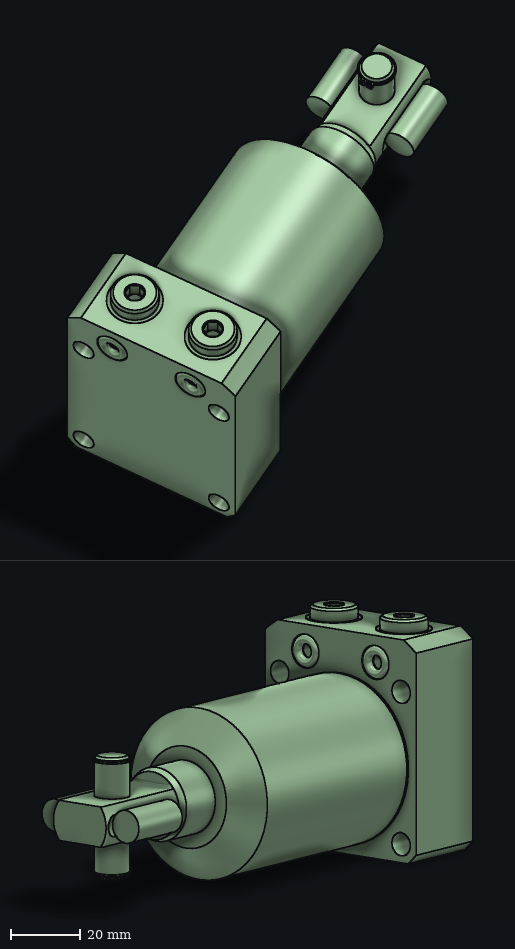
import cadquery as cq
import math


block_width = 56.0
block_length = 26.4
block_bottom = -block_width / 2
block_top = 37.9
top_corner_radius = 44.5
bottom_corner_radius = 37.6
bolt_spacing = 45.0
bolt_hole_diameter = 6.8

port_offset = 13.0
channel_height = 30.0
channel_diameter = 5.0
plug_diameter = 14.0
plug_bottom = 29.2
plug_top = 41.7
plug_chamfer = 0.7
plug_y = block_length / 2
socket_flats = 5.0
socket_rim_diameter = 6.0
socket_rim_depth = 0.3
socket_depth = 4.4
socket_cone_depth = 1.5
spotface_diameter = 16.4
spotface_depth = 0.1
ring_major_radius = 7.0 / 2
ring_cord_radius = 1.5
ring_protrusion = 0.7
ring_recess_diameter = 10.0
ring_recess_depth = 2 * ring_cord_radius - ring_protrusion

barrel_radius = 25.4
neck_radius = 25.2
neck_length = 0.7
shoulder_y = 91.7
nose_y = 97.8
nose_radius = 15.0

total_length = 147.5
tip_y = total_length - ring_protrusion
rod_radius = 10.9
rod_bevel_y = 111.0
tongue_start_y = 113.5
tongue_radius = 10.0
tongue_thickness = 12.0
tongue_root_fillet = 0.9
tip_bevel_length = 1.0
tip_bevel_depth = 0.3

pin_y = 131.9
pin_diameter = 10.3
pin_length = 36.0
pin_chamfer = 0.7
clip_radius = 5.6
clip_thickness = 0.6
clip_height = 16.4
clip_tab_width = 4.1
clip_tab_reach = 6.8
clip_slit_width = 0.7
clip_eye_diameter = 0.7
roller_radius = 4.9
roller_length = 20.0
groove_length = 20.6
roller_offset = pin_length / 2 - roller_radius

SIDES = (-1, 1)


def cylinder_along_y(radius, length, x, y_start, z):
    return cq.Workplane(cq.Solid.makeCylinder(radius, length, cq.Vector(x, y_start, z), cq.Vector(0, 1, 0)))


def cylinder_along_z(radius, length, x, y, z_start):
    return cq.Workplane(cq.Solid.makeCylinder(radius, length, cq.Vector(x, y, z_start)))


def make_block():
    """Block whose four long edges are turned about the cylinder axis."""
    upper = cq.Workplane("XY").box(block_width, block_length, block_top, centered=(True, False, False))
    upper = upper.intersect(cylinder_along_y(top_corner_radius, block_length, 0, 0, 0))
    lower = (
        cq.Workplane("XY", origin=(0, 0, block_bottom))
        .box(block_width, block_length, -block_bottom, centered=(True, False, False))
        .intersect(cylinder_along_y(bottom_corner_radius, block_length, 0, 0, 0))
    )
    block = upper.union(lower)
    for x_side in SIDES:
        for z_side in SIDES:
            x = x_side * bolt_spacing / 2
            z = z_side * bolt_spacing / 2
            block = block.cut(cylinder_along_y(bolt_hole_diameter / 2, block_length, x, 0, z))
    return block


def make_port_cut(x):
    """Through channel with an O-ring recess at both ends, and the plug bore that meets it."""
    recess_radius = ring_recess_diameter / 2
    cut = cylinder_along_y(channel_diameter / 2, block_length, x, 0, channel_height)
    for recess_y in (0, block_length - ring_recess_depth):
        cut = cut.union(cylinder_along_y(recess_radius, ring_recess_depth, x, recess_y, channel_height))
    bore = cylinder_along_z(plug_diameter / 2, block_top - plug_bottom, x, plug_y, plug_bottom)
    spotface = cylinder_along_z(spotface_diameter / 2, spotface_depth, x, plug_y, block_top - spotface_depth)
    return cut.union(bore).union(spotface)


def make_barrel_and_rod():
    """Turned profile of the barrel, its conical nose and the rod, up to the tongue."""
    profile = [
        (0, block_length),
        (neck_radius, block_length),
        (neck_radius, block_length + neck_length),
        (barrel_radius, block_length + neck_length),
        (barrel_radius, shoulder_y),
        (nose_radius, nose_y),
        (rod_radius, nose_y),
        (rod_radius, rod_bevel_y),
        (tongue_radius, tongue_start_y),
        (0, tongue_start_y),
    ]
    return cq.Workplane("XY").polyline(profile).close().revolve(360, (0, 0, 0), (0, 1, 0))


def make_tongue():
    """Round bar with two flats, which flare into the rod, and a roller groove on each side."""
    length = tip_y - tongue_start_y
    half_thickness = tongue_thickness / 2
    bar = (
        cylinder_along_y(tongue_radius, length, 0, tongue_start_y, 0)
        .faces(">Y").edges()
        .chamfer(tip_bevel_length, tip_bevel_depth)
    )
    fillet_offset = tongue_root_fillet * (1 - math.sqrt(0.5))
    fillet_mid_y = tongue_start_y + fillet_offset
    fillet_mid_z = half_thickness + fillet_offset
    root_z = half_thickness + tongue_root_fillet
    flat_y = tongue_start_y + tongue_root_fillet
    outline = (
        cq.Workplane("YZ")
        .moveTo(tongue_start_y, -root_z)
        .threePointArc((fillet_mid_y, -fillet_mid_z), (flat_y, -half_thickness))
        .lineTo(tip_y, -half_thickness)
        .lineTo(tip_y, half_thickness)
        .lineTo(flat_y, half_thickness)
        .threePointArc((fillet_mid_y, fillet_mid_z), (tongue_start_y, root_z))
        .close()
        .extrude(tongue_radius, both=True)
    )
    tongue = bar.intersect(outline)
    for side in SIDES:
        x = side * roller_offset
        groove = cylinder_along_y(roller_radius, groove_length, x, pin_y - groove_length / 2, 0)
        tongue = tongue.cut(groove)
        for end in SIDES:
            ball_y = pin_y + end * groove_length / 2
            ball_end = cq.Workplane("XY", origin=(x, ball_y, 0)).sphere(roller_radius)
            tongue = tongue.cut(ball_end)
    return tongue


def make_roller(x):
    return cylinder_along_y(roller_radius, roller_length, x, pin_y - roller_length / 2, 0)


def make_clip(z_start):
    """Split retaining ring with two eyed lugs that point towards the barrel."""
    ring = cylinder_along_z(clip_radius, clip_thickness, 0, pin_y, z_start)
    tab = (
        cq.Workplane("XY", origin=(0, pin_y - clip_tab_reach, z_start))
        .box(clip_tab_width, clip_tab_reach, clip_thickness, centered=(True, False, False))
    )
    slit = (
        cq.Workplane("XY", origin=(0, pin_y - clip_tab_reach, z_start))
        .box(clip_slit_width, clip_tab_reach, clip_thickness, centered=(True, False, False))
    )
    clip = ring.union(tab).cut(slit)
    eye_x = (clip_tab_width + clip_slit_width) / 4
    eye_y = pin_y - (clip_tab_reach + pin_diameter / 2) / 2
    for side in SIDES:
        clip = clip.cut(cylinder_along_z(clip_eye_diameter / 2, clip_thickness, side * eye_x, eye_y, z_start))
    return clip


def make_cross_pin():
    pin = (
        cylinder_along_z(pin_diameter / 2, pin_length, 0, pin_y, -pin_length / 2)
        .faces("<Z or >Z").edges()
        .chamfer(pin_chamfer)
    )
    for z_start in (clip_height, -clip_height - clip_thickness):
        pin = pin.union(make_clip(z_start))
    return pin


def make_clamp_cylinder():
    """Block, barrel, rod, tongue, rollers and cross pin in one solid."""
    body = make_block()
    for side in SIDES:
        body = body.cut(make_port_cut(side * port_offset))
    body = body.union(make_barrel_and_rod()).union(make_tongue()).union(make_cross_pin())
    for side in SIDES:
        body = body.union(make_roller(side * roller_offset))
    return body


def make_plug(x):
    """Round port plug with a bevelled hexagon socket that ends in a drill cone."""
    plug = (
        cylinder_along_z(plug_diameter / 2, plug_top - plug_bottom, x, plug_y, plug_bottom)
        .faces(">Z").edges()
        .chamfer(plug_chamfer)
    )
    socket_floor = plug_top - socket_depth
    hexagon_corners = socket_flats / math.cos(math.pi / 6)
    socket = (
        cq.Workplane("XY", origin=(x, plug_y, socket_floor))
        .transformed(rotate=(0, 0, 90))
        .polygon(6, hexagon_corners)
        .extrude(socket_depth)
    )
    rim_radius = socket_rim_diameter / 2
    cones = [
        (rim_radius, rim_radius - socket_rim_depth, socket_rim_depth, plug_top),
        (socket_flats / 2, 0, socket_cone_depth, socket_floor),
    ]
    plug = plug.cut(socket)
    for upper_radius, lower_radius, depth, z in cones:
        cone = cq.Solid.makeCone(
            upper_radius, lower_radius, depth, cq.Vector(x, plug_y, z), cq.Vector(0, 0, -1)
        )
        plug = plug.cut(cq.Workplane(cone))
    return plug


def make_o_ring(x, y):
    return cq.Solid.makeTorus(
        ring_major_radius, ring_cord_radius, cq.Vector(x, y, channel_height), cq.Vector(0, 1, 0)
    )


clamp_cylinder = make_clamp_cylinder()

plugs = []
o_rings = []
ring_depth = ring_cord_radius - ring_protrusion
for port_side in SIDES:
    port_x = port_side * port_offset
    plugs.append(make_plug(port_x).val())
    for ring_y in (ring_depth, block_length - ring_depth):
        o_rings.append(make_o_ring(port_x, ring_y))

result = cq.Compound.makeCompound([clamp_cylinder.val(), *plugs, *o_rings])